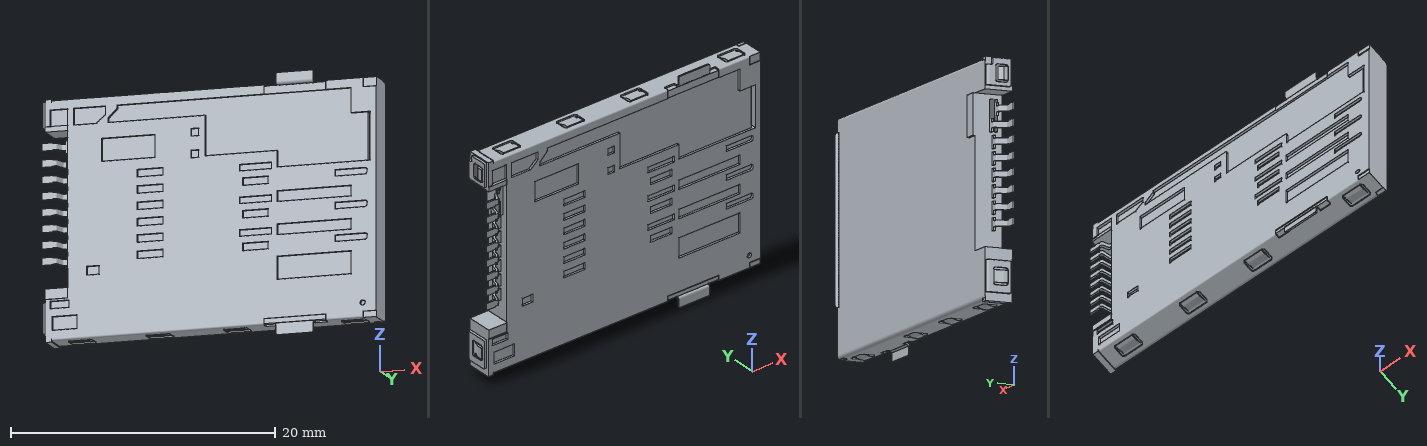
import cadquery as cq
import math


BODY_LEFT = 0.31
BODY_RIGHT = 26.75
BODY_FRONT = 0.09
BODY_BACK = 2.35
BODY_HALF_HEIGHT = 9.36
BACK_EDGE_RADIUS = 0.33
FRONT_EDGE_RADIUS = 0.16
SHELL_THICKNESS = 0.2
PLATE_THICKNESS = 0.13

BAY_DEPTH_X = 2.1
BAY_TOP = 6.9
BAY_BOTTOM = -5.28
BLOCK_FRONT = 0.03
UPPER_BLOCK_HEIGHT = 0.41
LOWER_BLOCK_HEIGHT = 0.83

FLANGE_RIGHT = 0.83
FLANGE_HALF_HEIGHT = 9.44
FLANGE_BACK = 2.31

LEAD_COUNT = 8
LEAD_PITCH = 1.27
FIRST_LEAD_Z = 5.74
FOOT_WIDTH = 0.6
NECK_WIDTH = 0.48
ROOT_WIDTH = 1.0
FOOT_LEFT = 0.08
FOOT_RIGHT = 0.96
BEND_LEFT = 1.1
BEND_RIGHT = 1.54
ROOT_LEFT = 1.76
LEAD_THICKNESS = 0.15
LEAD_BEND_RADIUS = 0.14
SIGNAL_ROOT_Y = 0.81
SWITCH_ROOT_YS = (0.57, 0.98)
SWITCH_PLATE_LEFT = 1.87
SWITCH_PLATE_TOP = 6.5
SWITCH_PLATE_BOTTOM = 4.0

LANCE_XS = (2.93, 9.12, 15.31, 24.73)
LANCE_WINDOW_LENGTH = 1.94
LANCE_LENGTH = 1.58
LANCE_FRONT = 0.53
LANCE_CREST = 0.92
LANCE_BACK = 1.57
LANCE_WINDOW_BACK = 1.74
LANCE_RISE = 0.08
LANCE_WINDOW_RADIUS = 0.2

END_PLATE_LEFT = 0.08
END_PLATE_FRONT = 0.28
END_PLATE_BACK = 2.28
END_PLATE_BEND_RADIUS = 0.19
END_PLATE_CORNER_RADIUS = 0.1
UPPER_PLATE_BOTTOM = 7.2
UPPER_PLATE_TOP = 9.34
UPPER_PLATE_NOTCH_Y = 1.82
UPPER_PLATE_NOTCH_Z = 8.8
LOWER_PLATE_BOTTOM = -8.77
LOWER_PLATE_TOP = -6.27

TAB_LEFT = 18.75
TAB_RIGHT = 21.74
TAB_HALF_SPAN = 10.2
TAB_BEND_Z = 9.5
TAB_CORNER_RADIUS = 0.12
RELIEF_LEFT = 17.78
RELIEF_RIGHT = 22.71
RELIEF_BACK = 0.57
RELIEF_UPPER_Z = 8.61
RELIEF_LOWER_Z = -8.85
RELIEF_DEPTH = 0.06
CORNER_RELIEF_LEFT = 25.71

BUMP_LENGTH = 1.05
BUMP_TOP = 6.9
BUMP_BOTTOM = 3.62
BUMP_BACK = 2.54
LIP_TOP = 8.15
LIP_BOTTOM = -5.33
LIP_BACK = 2.6
LIP_RIGHT = 26.7
LIP_REACH = 0.28
LIP_THICKNESS = 0.1
LIP_ROOT_Y = 2.3
LIP_CORNER_RADIUS = 0.12
BACK_CORNER_LEFT = 26.03
BACK_CORNER_FRONT = 1.84
BACK_CORNER_DEPTH = 0.05


def box(x0, x1, y0, y1, z0, z1):
    """Axis-aligned box between two opposite corners."""
    return cq.Workplane("XY").box(x1 - x0, y1 - y0, z1 - z0, centered=False).translate((x0, y0, z0))


def prism_along_y(points, y0, y1):
    """Extrude an XZ outline from y0 to y1."""
    return cq.Workplane("XZ", origin=(0, y0, 0)).polyline(points).close().extrude(y0 - y1)


def mirrored(shape):
    """The shape together with its copy on the opposite long side."""
    return shape.union(shape.mirror("XY"))


def make_body():
    body = box(BODY_LEFT, BODY_RIGHT, BODY_FRONT, BODY_BACK, -BODY_HALF_HEIGHT, BODY_HALF_HEIGHT)
    body = body.edges("|X and >Y").fillet(BACK_EDGE_RADIUS)
    body = body.edges("|X and <Y").fillet(FRONT_EDGE_RADIUS)
    flange = box(BODY_LEFT, FLANGE_RIGHT, BODY_FRONT, FLANGE_BACK, -FLANGE_HALF_HEIGHT, FLANGE_HALF_HEIGHT)
    upper_block = box(BODY_LEFT, BAY_DEPTH_X, BLOCK_FRONT, BODY_FRONT, BAY_TOP, BAY_TOP + UPPER_BLOCK_HEIGHT)
    lower_block = box(BODY_LEFT, BAY_DEPTH_X, BLOCK_FRONT, BODY_FRONT,
                      BAY_BOTTOM - LOWER_BLOCK_HEIGHT, BAY_BOTTOM)
    bay = box(0, BAY_DEPTH_X, 0, BODY_BACK, BAY_BOTTOM, BAY_TOP)
    return body.union(flange).union(upper_block).union(lower_block).cut(bay)


def back_bump():
    return box(BAY_DEPTH_X, BAY_DEPTH_X + BUMP_LENGTH, BODY_FRONT, BUMP_BACK, BUMP_BOTTOM, BUMP_TOP)


def back_lip():
    """Slanted card-guide lip at the right end of the back."""
    root_right = LIP_RIGHT - LIP_REACH
    profile = [
        (root_right - LIP_THICKNESS, LIP_ROOT_Y),
        (root_right, LIP_ROOT_Y),
        (LIP_RIGHT, LIP_BACK - LIP_THICKNESS),
        (LIP_RIGHT - LIP_THICKNESS, LIP_BACK),
    ]
    plane = cq.Workplane("XY", origin=(0, 0, LIP_BOTTOM))
    lip = plane.polyline(profile).close().extrude(LIP_TOP - LIP_BOTTOM)
    return lip.edges("#Z").edges(">Y").fillet(LIP_CORNER_RADIUS)


def back_corner_cuts():
    inner = BODY_HALF_HEIGHT - BACK_CORNER_DEPTH
    return mirrored(box(BACK_CORNER_LEFT, BODY_RIGHT, BACK_CORNER_FRONT, BODY_BACK, inner, BODY_HALF_HEIGHT))


def window(x0, x1, z0, z1):
    return box(x0, x1, 0, BODY_FRONT + SHELL_THICKNESS, z0, z1)


def centred_window(x, z, length, height):
    return window(x - length / 2, x + length / 2, z - height / 2, z + height / 2)


def lead_z(index):
    return FIRST_LEAD_Z - index * LEAD_PITCH


def plain_windows():
    return [
        window(4.83, 9.08, 4.33, 6.11),
        window(11.95, 12.56, 5.77, 6.36),
        window(11.95, 12.56, 4.08, 4.67),
        window(3.63, 4.63, -4.43, -3.75),
        window(0.88, 2.85, -8.52, -7.46),
        window(0.72, 2.21, -6.83, -6.26),
        window(0.72, BAY_DEPTH_X, BAY_TOP + UPPER_BLOCK_HEIGHT, 8.61),
        window(18.82, 24.75, 0.19, 1.02),
        window(18.82, 24.75, -2.39, -1.56),
        window(18.82, 24.75, -5.86, -4.07),
    ]


def contact_windows():
    """Slots over the contacts, spaced like the leads."""
    short_length, short_height = 2.05, 0.58
    long_length, long_height = 2.55, 0.5
    first_column_x, second_column_x = 8.68, 17.1
    long_row_offset = -0.17
    slots = []
    for index in range(2, LEAD_COUNT):
        slots.append(centred_window(first_column_x, lead_z(index), short_length, short_height))
    for index in range(3, LEAD_COUNT, 2):
        slots.append(centred_window(second_column_x, lead_z(index), short_length, short_height))
    for index in range(2, LEAD_COUNT, 2):
        z = lead_z(index) + long_row_offset
        slots.append(centred_window(second_column_x, z, long_length, long_height))
    return slots


def tip_slots():
    """Slots near the right end, each with a rounded right end."""
    left, right, height = 23.44, 26.02, 0.5
    first_z = 2.07
    corner_radius = 0.2
    slots = []
    for row in range(3):
        z = first_z - row * 2 * LEAD_PITCH
        slot = window(left, right, z - height / 2, z + height / 2)
        slots.append(slot.edges("|Y and >X").fillet(corner_radius))
    return slots


def corner_window():
    left, right, top, bottom = 2.58, 5.12, 8.61, 7.31
    cut_length, cut_height = 0.72, 0.62
    outline = [
        (left, bottom), (left, top), (right, top),
        (right, bottom + cut_height), (right - cut_length, bottom),
    ]
    return prism_along_y(outline, 0, BODY_FRONT + SHELL_THICKNESS)


def stepped_window():
    """Large stepped opening with a deeper slit along its right edge."""
    top, bottom, right = 8.61, 2.87, 26.27
    right_step_z = 6.66
    outline = [
        (6.06, top), (24.73, top), (24.73, right_step_z), (right, right_step_z),
        (right, bottom), (18.84, bottom), (18.84, 4.16), (13.09, 4.16),
        (13.09, 7.31), (5.33, 7.31), (5.33, 7.65), (6.06, 8.36),
    ]
    slit_left, slit_depth = 26.02, 0.55
    opening = prism_along_y(outline, 0, BODY_FRONT + SHELL_THICKNESS)
    return opening.union(box(slit_left, right, 0, BODY_FRONT + slit_depth, bottom, right_step_z))


def index_hole():
    x, z, radius = 25.66, -8.17, 0.2
    return cq.Workplane("XZ").center(x, z).circle(radius).extrude(-BODY_FRONT - SHELL_THICKNESS)


def cut_front_windows(body):
    cutters = plain_windows() + contact_windows() + tip_slots()
    cutters += [corner_window(), stepped_window(), index_hole()]
    for cutter in cutters:
        body = body.cut(cutter)
    return body


def lance(length, back, floor, crest):
    """Spring lance centred on X = 0: flat crest, then a slope down to the floor."""
    profile = [(LANCE_FRONT, floor), (LANCE_FRONT, crest), (LANCE_CREST, crest), (back, floor)]
    return cq.Workplane("YZ", origin=(-length / 2, 0, 0)).polyline(profile).close().extrude(length)


def lance_window(length, back, floor, surface):
    """Rounded pocket around a lance, centred on X = 0."""
    pocket = box(-length / 2, length / 2, LANCE_FRONT, back, floor, surface)
    return pocket.edges("|Z").fillet(LANCE_WINDOW_RADIUS)


def add_side_lances(body):
    floor = BODY_HALF_HEIGHT - PLATE_THICKNESS
    crest = BODY_HALF_HEIGHT + LANCE_RISE
    pocket = lance_window(LANCE_WINDOW_LENGTH, LANCE_WINDOW_BACK, floor, BODY_HALF_HEIGHT)
    spring = lance(LANCE_LENGTH, LANCE_BACK, floor, crest)
    for x in LANCE_XS:
        body = body.cut(mirrored(pocket.translate((x, 0, 0))))
        body = body.union(mirrored(spring.translate((x, 0, 0))))
    return body


def face_left(shape, z):
    """Turn a shape built facing +Z to face -X, centred on height z."""
    return shape.rotate((0, 0, 0), (0, 1, 0), -90).translate((0, 0, z))


def end_plate(z0, z1):
    plate = box(END_PLATE_LEFT, BODY_LEFT, END_PLATE_FRONT, END_PLATE_BACK, z0, z1)
    plate = plate.edges("|X and <Y").fillet(END_PLATE_CORNER_RADIUS)
    return plate.edges("|Z and >Y and <X").fillet(END_PLATE_BEND_RADIUS)


def add_end_lance(plate, z, window_height, window_back, lance_height, lance_back):
    floor = -END_PLATE_LEFT - PLATE_THICKNESS
    pocket = lance_window(window_height, window_back, floor, -END_PLATE_LEFT)
    spring = lance(lance_height, lance_back, floor, 0)
    return plate.cut(face_left(pocket, z)).union(face_left(spring, z))


def upper_end_plate():
    plate = end_plate(UPPER_PLATE_BOTTOM, UPPER_PLATE_TOP)
    notch = box(0, BODY_LEFT, UPPER_PLATE_NOTCH_Y, BODY_BACK, UPPER_PLATE_NOTCH_Z, UPPER_PLATE_TOP)
    notch = notch.edges("|X and <Y and <Z").fillet(END_PLATE_CORNER_RADIUS)
    return add_end_lance(plate.cut(notch), z=8.19, window_height=1.37, window_back=1.57,
                         lance_height=1.05, lance_back=1.33)


def lower_end_plate():
    plate = end_plate(LOWER_PLATE_BOTTOM, LOWER_PLATE_TOP)
    return add_end_lance(plate, z=-7.5, window_height=1.37, window_back=LANCE_WINDOW_BACK,
                         lance_height=0.97, lance_back=LANCE_BACK)


def relief_cuts():
    """Shallow front reliefs at the tabs and right corners, and side slits at the tabs."""
    wall = BODY_HALF_HEIGHT - PLATE_THICKNESS
    depth = BODY_FRONT + RELIEF_DEPTH
    cuts = mirrored(box(RELIEF_LEFT, RELIEF_RIGHT, 0, RELIEF_BACK, wall, BODY_HALF_HEIGHT))
    for left, right in ((RELIEF_LEFT, RELIEF_RIGHT), (CORNER_RELIEF_LEFT, BODY_RIGHT)):
        cuts = cuts.union(box(left, right, 0, depth, RELIEF_UPPER_Z, BODY_HALF_HEIGHT))
        cuts = cuts.union(box(left, right, 0, depth, -BODY_HALF_HEIGHT, RELIEF_LOWER_Z))
    return cuts


def solder_tab():
    """Tab that leaves the side wall and bends outward onto the solder plane."""
    wall = BODY_HALF_HEIGHT - PLATE_THICKNESS
    bend = TAB_BEND_Z - wall
    bend_y = PLATE_THICKNESS + TAB_BEND_Z - BODY_HALF_HEIGHT
    middle = math.sqrt(0.5)
    profile = (
        cq.Workplane("YZ", origin=(TAB_LEFT, 0, 0))
        .moveTo(0, TAB_HALF_SPAN)
        .lineTo(0, TAB_BEND_Z)
        .threePointArc((bend * (1 - middle), TAB_BEND_Z - bend * middle), (bend, wall))
        .lineTo(RELIEF_BACK, wall)
        .lineTo(RELIEF_BACK, BODY_HALF_HEIGHT)
        .lineTo(bend_y, BODY_HALF_HEIGHT)
        .lineTo(PLATE_THICKNESS, TAB_BEND_Z)
        .lineTo(PLATE_THICKNESS, TAB_HALF_SPAN)
        .close()
    )
    tab = profile.extrude(TAB_RIGHT - TAB_LEFT)
    return tab.faces(">Z").edges("|Y").fillet(TAB_CORNER_RADIUS)


def lead(z, root_y):
    """Gull-wing lead from a root at root_y down to the solder plane."""
    foot = box(FOOT_LEFT, FOOT_RIGHT, 0, LEAD_THICKNESS, z - FOOT_WIDTH / 2, z + FOOT_WIDTH / 2)
    root_back = root_y + LEAD_THICKNESS
    slope = [
        (FOOT_RIGHT, 0), (BEND_LEFT + LEAD_THICKNESS, 0), (BEND_RIGHT, root_y), (ROOT_LEFT, root_y),
        (ROOT_LEFT, root_back), (BEND_RIGHT - LEAD_THICKNESS, root_back),
        (BEND_LEFT, LEAD_THICKNESS), (FOOT_RIGHT, LEAD_THICKNESS),
    ]
    neck = cq.Workplane("XY", origin=(0, 0, z - NECK_WIDTH / 2)).polyline(slope).close().extrude(NECK_WIDTH)
    neck = neck.edges("|Z and (not <X) and (not >X)").fillet(LEAD_BEND_RADIUS)
    root = box(ROOT_LEFT, BAY_DEPTH_X, root_y, root_back, z - ROOT_WIDTH / 2, z + ROOT_WIDTH / 2)
    return foot.union(neck).union(root)


def add_leads(body):
    switch_count = len(SWITCH_ROOT_YS)
    for index, root_y in enumerate(SWITCH_ROOT_YS):
        plate = box(SWITCH_PLATE_LEFT, BAY_DEPTH_X, root_y, root_y + LEAD_THICKNESS,
                    SWITCH_PLATE_BOTTOM, SWITCH_PLATE_TOP)
        body = body.union(plate).union(lead(lead_z(index), root_y))
    for index in range(switch_count, LEAD_COUNT):
        body = body.union(lead(lead_z(index), SIGNAL_ROOT_Y))
    return body


result = make_body()
result = result.cut(back_corner_cuts()).union(back_bump()).union(back_lip())
result = result.cut(relief_cuts())
result = cut_front_windows(result)
result = add_side_lances(result)
result = result.union(mirrored(solder_tab()))
result = result.union(upper_end_plate()).union(lower_end_plate())
result = add_leads(result)